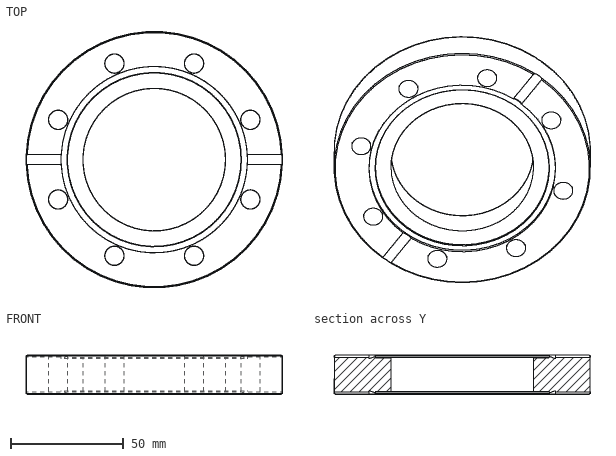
import cadquery as cq
import math

outer_diameter = 113.5
bore_diameter = 63.0
thickness = 17.5
rim_chamfer = 0.5

recess_diameter = 82.5
knife_diameter = 77.2
knife_depth = 0.6
floor_depth = 1.2
knife_slope = 20.0
knife_inner_slope = 70.0

bolt_count = 8
bolt_circle_diameter = 92.1
bolt_hole_diameter = 8.4

groove_width = 4.5
groove_depth = 1.0

half_thickness = thickness / 2
recess_radius = recess_diameter / 2
knife_radius = knife_diameter / 2


def centred_cylinder(diameter):
    """Solid cylinder of the full flange thickness, centred on the origin."""
    return cq.Workplane("XY").cylinder(thickness, diameter / 2)


def flange_ring():
    """Plain ring with chamfered outer edges, centred on the origin."""
    disc = centred_cylinder(outer_diameter)
    disc = disc.faces("<Z or >Z").edges().chamfer(rim_chamfer)
    return disc.cut(centred_cylinder(bore_diameter))


def seal_recess():
    """Revolved void above the knife edge and the flat inside it, at the top face."""
    wall_depth = knife_depth + (recess_radius - knife_radius) * math.tan(math.radians(knife_slope))
    inner_run = (floor_depth - knife_depth) / math.tan(math.radians(knife_inner_slope))
    return (
        cq.Workplane("XZ")
        .moveTo(0, half_thickness)
        .lineTo(recess_radius, half_thickness)
        .lineTo(recess_radius, half_thickness - wall_depth)
        .lineTo(knife_radius, half_thickness - knife_depth)
        .lineTo(knife_radius - inner_run, half_thickness - floor_depth)
        .lineTo(0, half_thickness - floor_depth)
        .close()
        .revolve(360, (0, 0, 0), (0, 1, 0))
    )


def leak_groove():
    """Round-bottomed groove across the top face, limited to the land outside the recess."""
    radius = (groove_width ** 2 / 4 + groove_depth ** 2) / (2 * groove_depth)
    axis_height = half_thickness - groove_depth + radius
    rod = (
        cq.Workplane("YZ")
        .center(0, axis_height)
        .circle(radius)
        .extrude(outer_diameter / 2, both=True)
    )
    core = cq.Workplane("XY").circle(recess_radius).extrude(axis_height + radius)
    return rod.cut(core)


def bolt_holes():
    """Through holes on the bolt circle, turned half a pitch from the X axis."""
    half_pitch = 180 / bolt_count
    return (
        cq.Workplane("XY")
        .polarArray(bolt_circle_diameter / 2, half_pitch, 360, bolt_count)
        .cylinder(thickness, bolt_hole_diameter / 2)
    )


result = flange_ring().cut(bolt_holes())
for face_cut in (seal_recess(), leak_groove()):
    result = result.cut(face_cut).cut(face_cut.mirror("XY"))